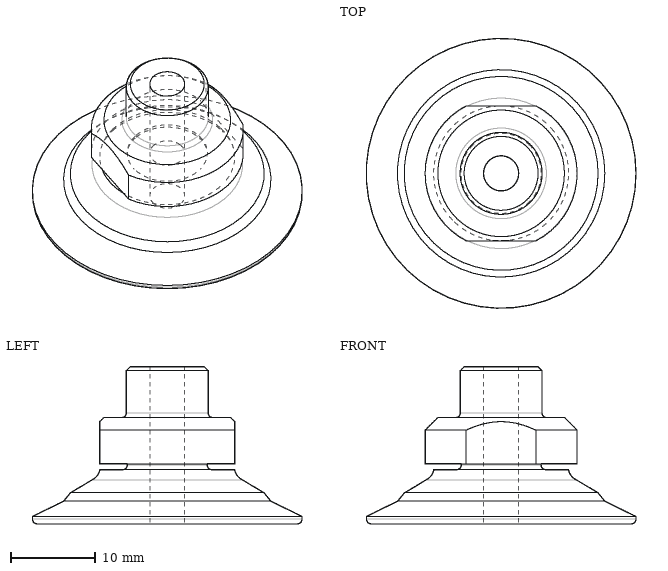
import cadquery as cq

total_height = 18.65
bore_diameter = 4.13
small_fillet = 0.5

lip_radius = 16.0
lip_fillet = 0.6
lip_height = 0.9
skirt_top_radius = 12.3
skirt_top_height = 2.72
step_top_radius = 11.5
step_top_height = 3.7
shoulder_radius = 8.93
shoulder_height = 5.25
crown_radius = 8.0
crown_height = 6.45
crown_arc_radius = 1.6
neck_radius = 9.5 / 2

boss_radius = 9.73 / 2
boss_length = 6.0
boss_chamfer = 0.48
flange_radius = 18.0 / 2
flange_top_radius = 15.0 / 2
flange_thickness = 5.5
flats_width = 16.0

flange_top = total_height - boss_length
flange_bottom = flange_top - flange_thickness
flange_chamfer = flange_radius - flange_top_radius


def bore(bottom, top):
    """Round passage along Z between two heights."""
    return cq.Workplane("XY").workplane(offset=bottom).circle(bore_diameter / 2).extrude(top - bottom)


def make_suction_cup():
    """Revolved cup with a rounded lip, stepped skirt and filleted neck."""
    profile = (
        cq.Workplane("XZ")
        .moveTo(0, 0)
        .lineTo(lip_radius - lip_fillet, 0)
        .radiusArc((lip_radius, lip_fillet), -lip_fillet)
        .lineTo(lip_radius, lip_height)
        .lineTo(skirt_top_radius, skirt_top_height)
        .lineTo(step_top_radius, step_top_height)
        .lineTo(shoulder_radius, shoulder_height)
        .radiusArc((crown_radius, crown_height), crown_arc_radius)
        .lineTo(neck_radius + small_fillet, crown_height)
        .radiusArc((neck_radius, crown_height + small_fillet), small_fillet)
        .lineTo(neck_radius, flange_bottom)
        .lineTo(0, flange_bottom)
        .close()
    )
    return profile.revolve(360, (0, 0), (0, 1)).cut(bore(0, flange_bottom))


def make_flange():
    """Round flange with a chamfered top edge and two flats facing -Y and +Y."""
    flange = (
        cq.Workplane("XY")
        .workplane(offset=flange_bottom)
        .circle(flange_radius)
        .extrude(flange_thickness)
        .faces(">Z")
        .chamfer(flange_chamfer)
    )
    between_flats = (
        cq.Workplane("XY")
        .workplane(offset=flange_bottom)
        .rect(2 * flange_radius, flats_width)
        .extrude(flange_thickness)
    )
    return flange.intersect(between_flats)


def make_boss():
    """Revolved boss with a chamfered tip and a fillet at its foot."""
    profile = (
        cq.Workplane("XZ")
        .moveTo(0, flange_top)
        .lineTo(boss_radius + small_fillet, flange_top)
        .radiusArc((boss_radius, flange_top + small_fillet), small_fillet)
        .lineTo(boss_radius, total_height - boss_chamfer)
        .lineTo(boss_radius - boss_chamfer, total_height)
        .lineTo(0, total_height)
        .close()
    )
    return profile.revolve(360, (0, 0), (0, 1))


def make_fitting():
    """Flange and boss as one piece, with the bore through both."""
    return make_flange().union(make_boss()).cut(bore(flange_bottom, total_height))


suction_cup = make_suction_cup()
fitting = make_fitting()

result = cq.Compound.makeCompound([suction_cup.solids().val(), fitting.solids().val()])